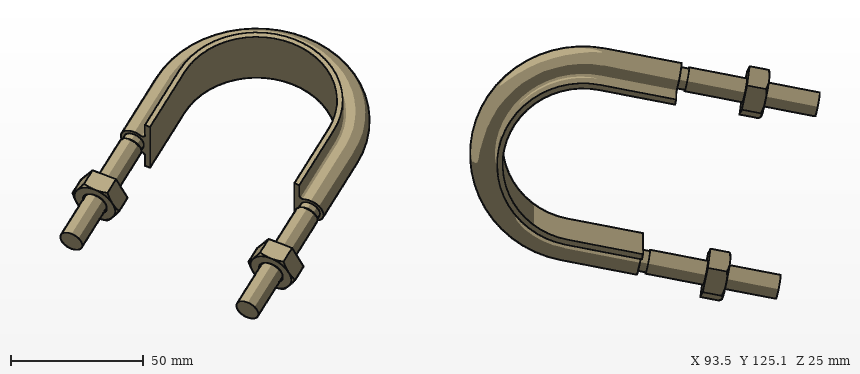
import cadquery as cq
import math

total_length = 125.1
leg_spacing = 73.9
bend_radius = leg_spacing / 2

sleeve_tube_radius = 5.6
strip_inner_radius = 30.3
strip_thickness = 2.1
strip_height = 25.0
sleeve_fillet_radius = 1.4
sleeve_length = 71.8

rod_core_diameter = 8.3
rod_end_diameter = 9.3
neck_length = 3.1

nut_sides = 6
nut_across_flats = 17.0
nut_height = 8.0
nut_end_distance = 20.0
nut_chamfer_angle = 30.0
nut_countersink_diameter = 10.1
nut_countersink_angle = 90.0

crown_y = bend_radius + sleeve_tube_radius
rod_end_y = crown_y - total_length
sleeve_end_y = crown_y - sleeve_length
rod_step_y = sleeve_end_y - neck_length
nut_outer_face_y = rod_end_y + nut_end_distance


def sleeve_section():
    """Section of the +X leg: the strip blended into the tube by two fillets."""
    half_height = strip_height / 2
    strip_outer = strip_inner_radius + strip_thickness
    fillet_x = strip_outer + sleeve_fillet_radius
    center_distance = sleeve_tube_radius + sleeve_fillet_radius
    fillet_z = math.sqrt(center_distance**2 - (bend_radius - fillet_x) ** 2)

    tube_share = sleeve_tube_radius / center_distance
    tangent_x = bend_radius + (fillet_x - bend_radius) * tube_share
    tangent_z = fillet_z * tube_share

    angle_to_tube = math.atan2(-fillet_z, bend_radius - fillet_x)
    middle_angle = (angle_to_tube - math.pi) / 2
    middle_x = fillet_x + sleeve_fillet_radius * math.cos(middle_angle)
    middle_z = fillet_z + sleeve_fillet_radius * math.sin(middle_angle)

    return (
        cq.Workplane("XZ")
        .moveTo(strip_inner_radius, -half_height)
        .lineTo(strip_outer, -half_height)
        .lineTo(strip_outer, -fillet_z)
        .threePointArc((middle_x, -middle_z), (tangent_x, -tangent_z))
        .threePointArc((bend_radius + sleeve_tube_radius, 0), (tangent_x, tangent_z))
        .threePointArc((middle_x, middle_z), (strip_outer, fillet_z))
        .lineTo(strip_outer, half_height)
        .lineTo(strip_inner_radius, half_height)
        .close()
    )


def core_section():
    """Round section of the rod on the +X leg."""
    return cq.Workplane("XZ").moveTo(bend_radius, 0).circle(rod_core_diameter / 2)


def u_shape(make_section, leg_end_y):
    """Half-turn bend with two straight legs of the same section."""
    leg = make_section().extrude(-leg_end_y)
    bend = make_section().revolve(180, (0, 0, 0), (0, 1, 0))
    return bend.union(leg).union(leg.mirror("YZ"))


def make_rod():
    rod = u_shape(core_section, rod_step_y)
    for leg_x in (-bend_radius, bend_radius):
        threaded_end = (
            cq.Workplane("XZ", origin=(leg_x, rod_step_y, 0))
            .circle(rod_end_diameter / 2)
            .extrude(rod_step_y - rod_end_y)
        )
        rod = rod.union(threaded_end)
    return rod


def make_sleeve():
    bore = u_shape(core_section, sleeve_end_y)
    return u_shape(sleeve_section, sleeve_end_y).cut(bore)


def make_nut(leg_x):
    """Hexagon nut with its corners along X, chamfered on the outer face only."""
    corner_radius = nut_across_flats / 2 / math.cos(math.pi / nut_sides)
    nut = (
        cq.Workplane("XY")
        .polygon(nut_sides, 2 * corner_radius)
        .extrude(nut_height)
    )
    face_radius = nut_across_flats / 2
    chamfer_depth = (corner_radius - face_radius) * math.tan(math.radians(nut_chamfer_angle))
    envelope = (
        cq.Workplane("XZ")
        .polyline([
            (0, 0),
            (corner_radius, 0),
            (corner_radius, nut_height - chamfer_depth),
            (face_radius, nut_height),
            (0, nut_height),
        ])
        .close()
        .revolve(360, (0, 0, 0), (0, 1, 0))
    )
    nut = (
        nut.intersect(envelope)
        .faces(">Z").workplane(origin=(0, 0, nut_height))
        .cskHole(rod_end_diameter, nut_countersink_diameter, nut_countersink_angle)
    )
    nut = nut.rotate((0, 0, 0), (1, 0, 0), 90)
    return nut.translate((leg_x, nut_outer_face_y + nut_height, 0))


sleeve = make_sleeve()
rod = make_rod()
nuts = [make_nut(leg_x) for leg_x in (-bend_radius, bend_radius)]

result = cq.Compound.makeCompound([sleeve.val(), rod.val(), *[nut.val() for nut in nuts]])